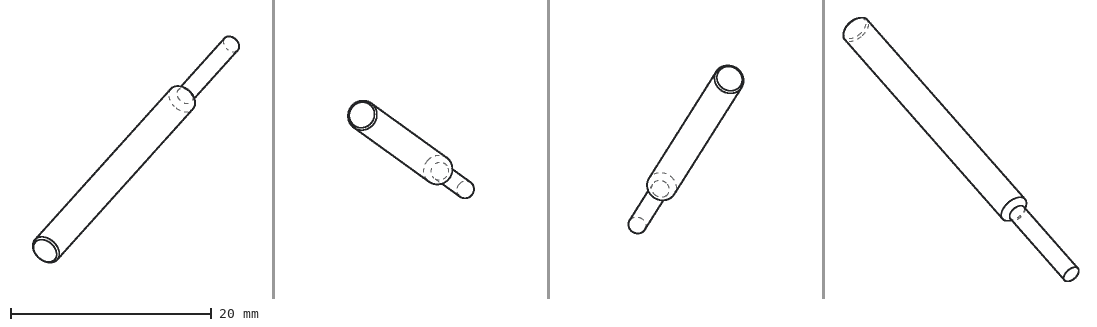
import cadquery as cq

total_length = 40.0
body_diameter = 3.0
pin_diameter = 1.8
pin_length = 10.0
end_chamfer = 0.2

body_end_y = -total_length / 2
pin_end_y = total_length / 2
shoulder_y = pin_end_y - pin_length
body_radius = body_diameter / 2
pin_radius = pin_diameter / 2

shoulder_length = body_radius - pin_radius


def shaft():
    """Revolve the stepped half profile (radius along X) around the Y axis."""
    profile = (
        cq.Workplane("XY")
        .moveTo(0, body_end_y)
        .lineTo(body_radius - end_chamfer, body_end_y)
        .lineTo(body_radius, body_end_y + end_chamfer)
        .lineTo(body_radius, shoulder_y - shoulder_length)
        .lineTo(pin_radius, shoulder_y)
        .lineTo(pin_radius, pin_end_y)
        .lineTo(0, pin_end_y)
        .close()
    )
    return profile.revolve(360, (0, 0, 0), (0, 1, 0))


result = shaft()